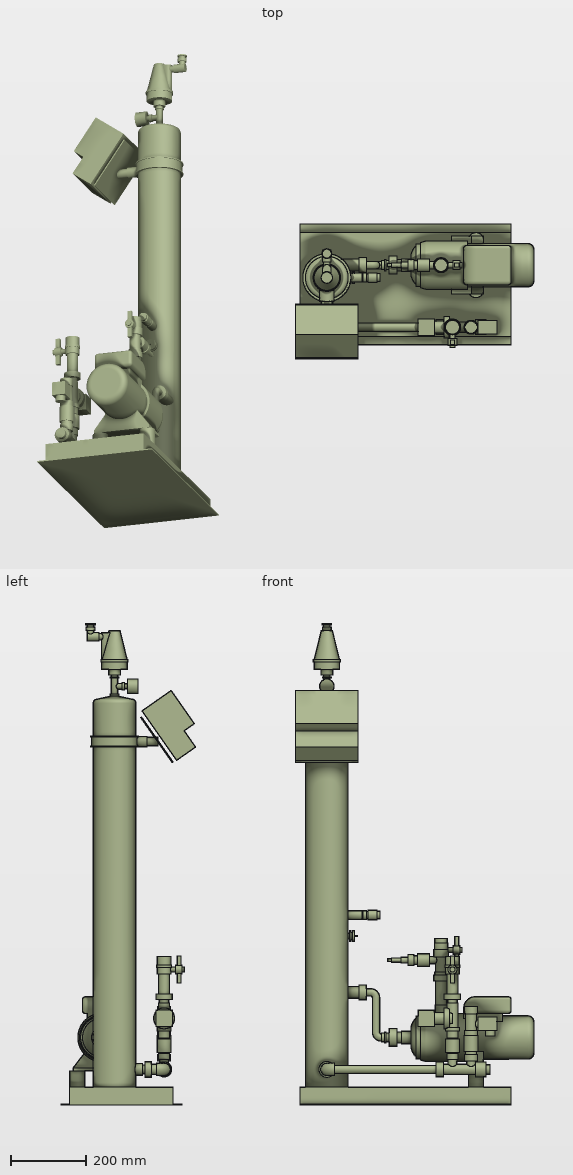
import cadquery as cq
import math


base_length = 563.0
base_left = -72.0
flange_width = 322.0
flange_thickness = 3.0
base_width = 276.0
base_center_y = -18.0
base_height = 48.0

column_radius = 57.0
column_shoulder_z = 1070.0
knuckle_radius = 11.0
dome_top_z = 1091.0
clamp_radius = 61.5
clamp_lip_radius = 64.0
clamp_lip_height = 3.0
clamp_height = 30.0
clamp_center_z = 968.0

box_tilt = 35.0
box_width = 167.0
box_length = 161.0
box_depth = 95.0
box_step_depth = 33.0
box_step_length = 53.0
box_corner_y = -72.88
box_corner_z = 1049.5
plate_gap = 10.0
plate_thickness = 3.0
plate_offset = 13.0
plate_length = 146.0
bracket_arm_radius = 11.5
bracket_collar_radius = 14.0
bracket_collar_length = 30.0

vent_bottom_z = 1160.0
vent_rim_z = 1180.0
vent_rim_height = 6.0
vent_top_z = 1263.0
vent_radius = 34.0
vent_rim_radius = 36.5
vent_top_radius = 15.0
vent_pod_radius = 11.0
vent_outlet_y = 64.0
vent_outlet_z = 1247.0
total_height = 1281.8

gauge_z = 1115.0

pump_axis_y = 33.3
pump_axis_z = 180.0
pump_radius = 64.5
pump_nose_x = 224.0
pump_nose_radius = 28.0
pump_ring_x = 238.0
pump_ring_radius = 57.0
pump_ring_inner_radius = 52.0
pump_shoulder_x = 249.0
pump_shoulder_radius = 60.0
pump_front_x = 264.0
pump_back_x = 375.0
motor_radius = 58.0
motor_end_x = 635.16 - box_width / 2
motor_end_fillet = 17.0

terminal_left = 364.0
terminal_corner_radius = 32.0
terminal_right = 491.0
terminal_width = 105.0
terminal_top_z = 289.0
terminal_bottom_z = 243.5
terminal_edge_radius = 9.0
terminal_neck_right = 468.0
terminal_neck_width = 80.0

foot_left = 332.0
foot_right = 417.0
foot_half_width = 77.0
foot_bottom_z = 91.0
foot_thickness = 8.0
web_left = 385.0
web_top_half_width = 40.0
leg_radius = 20.5
leg_x = 397.0
leg_spread = 66.0

suction_port_z = 300.0
suction_pipe_radius = 10.0
suction_bend_radius = 14.0
suction_drop_x = 131.0
suction_union_x = 145.0
suction_pipe_start_x = 100.0

riser_x = 304.0
riser_side_z = 386.0
riser_valve_z = 413.0

drain_y = -132.0
drain_z = 95.0
drain_elbow_radius = 16.5
drain_bend_radius = 20.0

tall_stack_x = 334.5
tall_stack_side_z = 231.0
tall_stack_valve_z = 361.0
short_stack_x = 384.0
short_stack_side_z = 216.0

sample_port_z = 506.0
sensor_port_z = 450.0


def pipe_run(start, direction, sections):
    """Coaxial round sections laid end to end; each section is (length, radius)."""
    axis = cq.Vector(*direction)
    position = cq.Vector(*start)
    run = None
    for length, radius in sections:
        piece = cq.Workplane(obj=cq.Solid.makeCylinder(radius, length, position, axis))
        run = piece if run is None else run.union(piece)
        position = position + axis * length
    return run


def block(x_range, y_range, z_range):
    """Rectangular block between the given limits."""
    sizes = [high - low for low, high in (x_range, y_range, z_range)]
    return cq.Workplane().box(*sizes, centered=False).translate((x_range[0], y_range[0], z_range[0]))


def butterfly_valve(start, direction):
    """Valve stem, hub and upright wing handle."""
    stem = [(14, 7), (18, 12), (6, 7)]
    handle_distance = 24.0
    handle_size = (11.0, 11.0, 72.0)
    handle_at = cq.Vector(*start) + cq.Vector(*direction) * handle_distance
    handle = cq.Workplane().box(*handle_size).translate(handle_at.toTuple())
    return pipe_run(start, direction, stem).union(handle)


def make_base():
    """Solid skid with a thin flange along both long edges."""
    flange = (base_length, flange_width, flange_thickness)
    skid = (base_length, base_width, base_height)
    at = (base_left, base_center_y, 0)
    centered = (False, True, False)
    base = cq.Workplane().box(*flange, centered=centered)
    return base.union(cq.Workplane().box(*skid, centered=centered)).translate(at)


def tilted_frame():
    """YZ frame at the box's upper back corner: local X runs down the back, local Y out of its back."""
    tilt = math.radians(box_tilt)
    down_the_back = (0, -math.sin(tilt), -math.cos(tilt))
    origin = (0, box_corner_y, box_corner_z)
    return cq.Workplane(cq.Plane(origin=origin, xDir=down_the_back, normal=(1, 0, 0)))


def make_control_box():
    """Tilted box whose lower front is stepped back."""
    step_depth = box_depth - box_step_depth
    step_start = box_length - box_step_length
    outline = [
        (0, 0),
        (box_length, 0),
        (box_length, -step_depth),
        (step_start, -step_depth),
        (step_start, -box_depth),
        (0, -box_depth),
    ]
    return tilted_frame().polyline(outline).close().extrude(box_width / 2, both=True)


def make_column():
    """Column with a domed head, revolved about Z."""
    knuckle_mid = knuckle_radius * math.sqrt(0.5)
    knuckle_x = column_radius - knuckle_radius
    profile = (
        cq.Workplane("XZ")
        .moveTo(0, base_height)
        .lineTo(column_radius, base_height)
        .lineTo(column_radius, column_shoulder_z)
        .threePointArc(
            (knuckle_x + knuckle_mid, column_shoulder_z + knuckle_mid),
            (knuckle_x, column_shoulder_z + knuckle_radius),
        )
        .lineTo(0, dome_top_z)
        .close()
    )
    return profile.revolve(360, (0, 0, 0), (0, 1, 0))


def make_clamp_and_bracket():
    """Clamp ring on the column, the arm and the tilted plate that backs the control box."""
    ring_start = (0, 0, clamp_center_z - clamp_height / 2)
    web_height = clamp_height - 2 * clamp_lip_height
    lip = (clamp_lip_height, clamp_lip_radius)
    ring = pipe_run(ring_start, (0, 0, 1), [lip, (web_height, clamp_radius), lip])

    plate = (
        tilted_frame()
        .center(plate_offset + plate_length / 2, plate_gap + plate_thickness / 2)
        .rect(plate_length, plate_thickness)
        .extrude(box_width / 2, both=True)
    )
    tilt = math.radians(box_tilt)
    plate_y = box_corner_y - (box_corner_z - clamp_center_z) * math.tan(tilt)
    plate_y += (plate_gap + plate_thickness / 2) / math.cos(tilt)
    arm_reach = -plate_y - column_radius
    arm_sections = [
        (bracket_collar_length, bracket_collar_radius),
        (arm_reach - bracket_collar_length, bracket_arm_radius),
    ]
    arm = pipe_run((0, -column_radius, clamp_center_z), (0, -1, 0), arm_sections)
    return ring.union(arm).union(plate)


def make_vent():
    """Neck, conical air vent, side pod and outlet elbow on top of the column."""
    neck_start_z = dome_top_z - 2
    neck = [(6, 12), (42, 9), (3, 12), (5, 9), (16, 16), (5, 20)]
    vent = pipe_run((0, 0, neck_start_z), (0, 0, 1), neck)
    body = [(vent_rim_z - vent_bottom_z, vent_radius), (vent_rim_height, vent_rim_radius)]
    vent = vent.union(pipe_run((0, 0, vent_bottom_z), (0, 0, 1), body))

    cone_start_z = vent_rim_z + vent_rim_height
    cone_height = vent_top_z - cone_start_z
    cone = cq.Solid.makeCone(vent_radius, vent_top_radius, cone_height, cq.Vector(0, 0, cone_start_z))
    vent = vent.union(cq.Workplane(obj=cone))

    pod_height = vent_outlet_z + vent_pod_radius - vent_bottom_z
    pod_y = vent_radius + 1 - vent_pod_radius
    vent = vent.union(pipe_run((0, pod_y, vent_bottom_z), (0, 0, 1), [(pod_height, vent_pod_radius)]))
    vent = vent.union(block((-vent_pod_radius, vent_pod_radius), (0, pod_y),
                            (vent_bottom_z, vent_bottom_z + pod_height)))

    outlet = [(18, 9), (vent_outlet_y + 9 - pod_y - 18, 11.5)]
    vent = vent.union(pipe_run((0, pod_y, vent_outlet_z), (0, 1, 0), outlet))
    cap = [(9, 12), (6, 9), (3, 13)]
    cap_height = sum(length for length, _ in cap)
    stub = [(total_height - cap_height - vent_outlet_z, 9)]
    return vent.union(pipe_run((0, vent_outlet_y, vent_outlet_z), (0, 0, 1), stub + cap))


def make_gauge():
    """Pressure gauge facing the front, on a short stem from the vent neck."""
    return pipe_run((0, 0, gauge_z), (0, -1, 0), [(20, 8), (7, 10.5), (7, 7), (29, 19.5)])


def make_side_ports():
    """Sample port and sensor on the +X side of the column."""
    sample = [(39, 12), (3, 10), (10, 12), (3, 10), (25, 13), (8, 10.5)]
    sensor = [(6, 8), (4, 15), (5, 10), (5, 15), (7, 1.5)]
    inset = 3.0
    ports = pipe_run((column_radius - inset, 0, sample_port_z), (1, 0, 0), sample)
    return ports.union(pipe_run((column_radius - inset, 0, sensor_port_z), (1, 0, 0), sensor))


def make_pump():
    """Pump casing with a domed, ringed nose, and the motor, revolved about the pump axis."""
    nose_bulge = 2.0
    nose_mid_x = (pump_nose_x + pump_ring_x) / 2 - nose_bulge
    nose_mid_radius = (pump_nose_radius + pump_ring_inner_radius) / 2 + nose_bulge / 2
    fillet_mid = motor_end_fillet * math.sqrt(0.5)
    fillet_x = motor_end_x - motor_end_fillet
    fillet_center_radius = motor_radius - motor_end_fillet
    profile = (
        cq.Workplane("XZ", origin=(0, pump_axis_y, pump_axis_z))
        .moveTo(pump_nose_x, 0)
        .lineTo(pump_nose_x, pump_nose_radius)
        .threePointArc((nose_mid_x, nose_mid_radius), (pump_ring_x, pump_ring_inner_radius))
        .lineTo(pump_ring_x, pump_ring_radius)
        .lineTo(pump_shoulder_x, pump_ring_radius)
        .lineTo(pump_shoulder_x, pump_shoulder_radius)
        .lineTo(pump_front_x, pump_radius)
        .lineTo(pump_back_x, pump_radius)
        .lineTo(pump_back_x, motor_radius)
        .lineTo(fillet_x, motor_radius)
        .threePointArc(
            (fillet_x + fillet_mid, fillet_center_radius + fillet_mid),
            (motor_end_x, fillet_center_radius),
        )
        .lineTo(motor_end_x, 0)
        .close()
    )
    return profile.revolve(360, (0, 0, 0), (1, 0, 0))


def make_terminal_box():
    """Terminal box with a rounded left end and rounded edges, on a narrower neck."""
    flat_left = terminal_left + terminal_corner_radius
    corner_bottom_z = terminal_top_z - terminal_corner_radius
    box = (
        cq.Workplane("XZ", origin=(0, pump_axis_y, 0))
        .moveTo(terminal_left, terminal_bottom_z)
        .lineTo(terminal_left, corner_bottom_z)
        .radiusArc((flat_left, terminal_top_z), terminal_corner_radius)
        .lineTo(terminal_right, terminal_top_z)
        .lineTo(terminal_right, terminal_bottom_z)
        .close()
        .extrude(terminal_width / 2, both=True)
    )
    box = box.edges(">X or <Y or >Y").fillet(terminal_edge_radius)
    neck = block(
        (terminal_left, terminal_neck_right),
        (pump_axis_y - terminal_neck_width / 2, pump_axis_y + terminal_neck_width / 2),
        (pump_axis_z, terminal_bottom_z + terminal_edge_radius),
    )
    return box.union(neck)


def make_pump_foot():
    """Foot plate, tapered web and two round legs under the pump."""
    web_bottom_z = foot_bottom_z + foot_thickness
    foot = block(
        (foot_left, foot_right),
        (pump_axis_y - foot_half_width, pump_axis_y + foot_half_width),
        (foot_bottom_z, web_bottom_z),
    )
    web_outline = [
        (-foot_half_width, web_bottom_z),
        (foot_half_width, web_bottom_z),
        (web_top_half_width, pump_axis_z - pump_radius / 2),
        (-web_top_half_width, pump_axis_z - pump_radius / 2),
    ]
    web = (
        cq.Workplane("YZ", origin=(web_left, pump_axis_y, 0))
        .polyline(web_outline)
        .close()
        .extrude(foot_right - web_left)
    )
    foot = foot.union(web)
    for side in (-1, 1):
        leg_start = (leg_x, pump_axis_y + side * leg_spread, base_height)
        foot = foot.union(pipe_run(leg_start, (0, 0, 1), [(foot_bottom_z - base_height, leg_radius)]))
    return foot


def make_suction_pipe():
    """Column port, bent pipe and union leading to the pump nose."""
    port_sections = [(65, 16), (20, 20)]
    suction = pipe_run((20, pump_axis_y, suction_port_z), (1, 0, 0), port_sections)

    path = (
        cq.Workplane("XZ", origin=(0, pump_axis_y, 0))
        .moveTo(suction_pipe_start_x, suction_port_z)
        .lineTo(suction_drop_x - suction_bend_radius, suction_port_z)
        .tangentArcPoint((suction_bend_radius, -suction_bend_radius))
        .lineTo(suction_drop_x, pump_axis_z + suction_bend_radius)
        .tangentArcPoint((suction_bend_radius, -suction_bend_radius))
        .lineTo(suction_union_x + suction_bend_radius, pump_axis_z)
    )
    pipe = (
        cq.Workplane("YZ", origin=(suction_pipe_start_x, pump_axis_y, suction_port_z))
        .circle(suction_pipe_radius)
        .sweep(path)
    )
    union_sections = [(8, 12), (4, 15), (9, 12), (21, 24), (12, 15), (26, 17)]
    union_start = (suction_union_x, pump_axis_y, pump_axis_z)
    return suction.union(pipe).union(pipe_run(union_start, (1, 0, 0), union_sections))


def make_discharge_riser():
    """Riser on the pump with a relief fitting on the left and a butterfly valve on the right."""
    sections = [(45, 16), (64, 15), (15, 20), (8, 17), (40, 15), (20, 20), (17, 18), (13, 17)]
    total = sum(length for length, _ in sections)
    riser_top_z = 444.0
    riser = pipe_run((riser_x, pump_axis_y, riser_top_z - total), (0, 0, 1), sections)
    relief = [(30, 10), (33, 17), (9, 12), (16, 15), (18, 8), (26, 6), (10, 4)]
    riser = riser.union(pipe_run((riser_x, pump_axis_y, riser_side_z), (-1, 0, 0), relief))
    valve_start = (riser_x + 18, pump_axis_y, riser_valve_z)
    return riser.union(butterfly_valve(valve_start, (1, 0, 0)))


def make_drain_line():
    """Pipe out of the column's front, round elbow and long run along X."""
    outlet_start_y = -50.0
    outlet = [(25, 16), (6, 12), (17, 21)]
    outlet_reach = sum(length for length, _ in outlet)
    bend_start_y = drain_y + drain_bend_radius
    outlet.append((outlet_start_y - outlet_reach - bend_start_y, 14))
    line = pipe_run((0, outlet_start_y, drain_z), (0, -1, 0), outlet)

    path = (
        cq.Workplane("XY", origin=(0, 0, drain_z))
        .moveTo(0, bend_start_y)
        .radiusArc((drain_bend_radius, drain_y), -drain_bend_radius)
    )
    elbow = (
        cq.Workplane("XZ", origin=(0, bend_start_y, drain_z))
        .circle(drain_elbow_radius)
        .sweep(path)
    )
    run = [(270, 11), (21, 20), (85, 14), (28, 20), (11, 13)]
    run_start = (drain_bend_radius, drain_y, drain_z)
    return line.union(elbow).union(pipe_run(run_start, (1, 0, 0), run))


def make_tall_stack():
    """Tall fitting stack with a side actuator and a butterfly valve."""
    sections = [(26, 12), (16, 15), (3, 12), (36, 18.5), (3, 12), (18, 15), (10, 18.5), (65, 15),
                (9, 13), (15, 22), (53, 15), (18, 18.5), (6, 20), (23, 18.5)]
    stack = pipe_run((tall_stack_x, drain_y, drain_z), (0, 0, 1), sections)
    side = [(8, 20), (14, 28), (35, 16)]
    stack = stack.union(pipe_run((tall_stack_x, drain_y, tall_stack_side_z), (-1, 0, 0), side))
    half = 22.0
    actuator_x = (243.0, 286.0)
    stack = stack.union(block(actuator_x, (drain_y - half, drain_y + half),
                              (tall_stack_side_z - half, tall_stack_side_z + half)))
    valve_start = (tall_stack_x, drain_y - 16, tall_stack_valve_z)
    return stack.union(butterfly_valve(valve_start, (0, -1, 0)))


def make_short_stack():
    """Short fitting stack with a side actuator."""
    sections = [(22, 12), (18, 17), (8, 15), (42, 18.5), (14, 17), (44, 15), (20, 17)]
    stack = pipe_run((short_stack_x, drain_y, drain_z), (0, 0, 1), sections)
    side = [(25, 10)]
    stack = stack.union(pipe_run((short_stack_x, drain_y, short_stack_side_z), (1, 0, 0), side))
    half = 18.0
    actuator_x = (403.0, 453.0)
    stack = stack.union(block(actuator_x, (drain_y - half, drain_y + half),
                              (short_stack_side_z - half, short_stack_side_z + half)))
    return stack.union(pipe_run((435, drain_y, short_stack_side_z), (0, 0, -1), [(32, 13)]))


def make_column_and_pump_unit():
    """Everything piped together: column, vent, pump, motor and fittings."""
    unit = make_column()
    for feature in (
        make_clamp_and_bracket(),
        make_vent(),
        make_gauge(),
        make_side_ports(),
        make_pump(),
        make_terminal_box(),
        make_pump_foot(),
        make_suction_pipe(),
        make_discharge_riser(),
        make_drain_line(),
        make_tall_stack(),
        make_short_stack(),
    ):
        unit = unit.union(feature)
    return unit


base = make_base()
control_box = make_control_box()
unit = make_column_and_pump_unit()

result = cq.Compound.makeCompound([base.val(), control_box.val(), *unit.vals()])